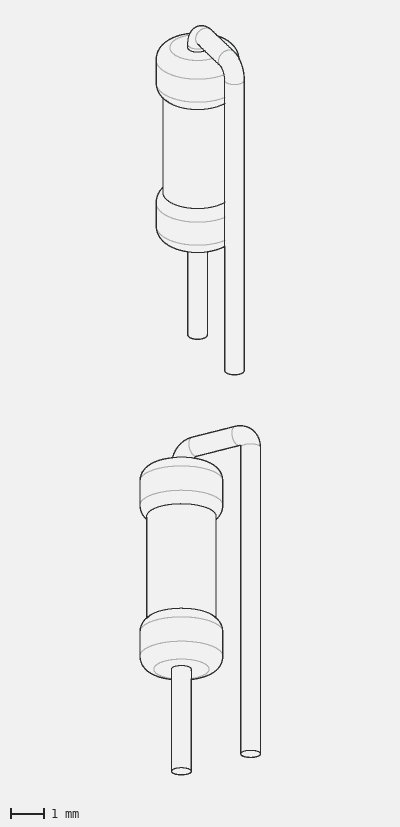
import cadquery as cq
import math

total_height = 10.7
wire_diameter = 0.6
lead_pitch = 2.54
bend_radius = 0.48

cap_radius = 2.5 / 2
core_radius = 2.1 / 2
cap_fillet = 0.42
body_bottom = 3.31
body_top = 9.81
cap_height = 1.56

wire_top = total_height - wire_diameter / 2
bend_start = wire_top - bend_radius

fillet_center_radius = cap_radius - cap_fillet
inner_rounding = math.sqrt(cap_fillet**2 - (core_radius - fillet_center_radius) ** 2)
full_cap_height = cap_height - inner_rounding + cap_fillet


def end_cap(bottom):
    """Rounded cap with its lower face at the given height."""
    cap = cq.Workplane("XY").workplane(offset=bottom).circle(cap_radius).extrude(full_cap_height)
    return cap.edges().fillet(cap_fillet)


def core():
    """Cylinder joining the two caps."""
    middle_height = body_top - body_bottom - 2 * cap_height
    bottom = body_bottom + cap_height - inner_rounding
    height = middle_height + 2 * inner_rounding
    return cq.Workplane("XY").workplane(offset=bottom).circle(core_radius).extrude(height)


def lead_wire():
    """Wire through the body, over two quarter bends and back down."""
    diagonal = bend_radius * math.sqrt(0.5)
    bend_center_right = lead_pitch - bend_radius
    path = (
        cq.Workplane("XZ")
        .lineTo(0, bend_start)
        .threePointArc((bend_radius - diagonal, bend_start + diagonal), (bend_radius, wire_top))
        .lineTo(bend_center_right, wire_top)
        .threePointArc(
            (bend_center_right + diagonal, bend_start + diagonal),
            (lead_pitch, bend_start),
        )
        .lineTo(lead_pitch, 0)
    )
    return cq.Workplane("XY").circle(wire_diameter / 2).sweep(path)


lower_cap = end_cap(body_bottom)
upper_cap = end_cap(body_top - full_cap_height)
result = core().union(lower_cap).union(upper_cap).union(lead_wire())